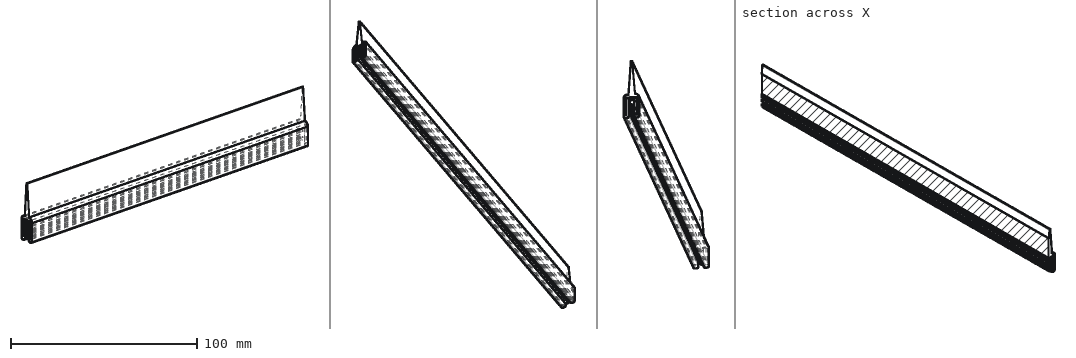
import cadquery as cq

length = 200.0
width = 8.5
height = 33.5
half_width = width / 2

channel_half_width = 1.45
channel_top = 10.5
leg_end_radius = 1.2

shoulder_bottom = 11.8
left_root_x, left_root_z = -1.7, 14.0
left_shoulder_mid = (-3.5, 13.5)
right_root_x, right_root_z = 1.9, 14.5
right_shoulder_mid = (3.5, 13.2)

tip_half_width = 0.5
tip_start = height - tip_half_width

tooth_thickness = 0.8
tooth_reach = 1.5

tooth_root_depth = 0.2
lowest_tooth_z = 2.5
tooth_pitch = 1.8
tooth_count = 4

strip_thickness = 0.5
strip_half_width = 3.5
strip_bottom = 2.0
strip_top = 12.2
strip_bend_radius = 1.0


def extrude_along_length(profile):
    """Extrude an XZ profile symmetrically about the XZ plane."""
    return profile.extrude(length / 2, both=True)


def trim_profile():
    """Blade, shoulders and the two legs with the open channel."""
    return (
        cq.Workplane("XZ")
        .moveTo(-half_width, 0)
        .lineTo(-half_width, shoulder_bottom)
        .threePointArc(left_shoulder_mid, (left_root_x, left_root_z))
        .lineTo(-tip_half_width, tip_start)
        .threePointArc((0, height), (tip_half_width, tip_start))
        .lineTo(right_root_x, right_root_z)
        .threePointArc(right_shoulder_mid, (half_width, shoulder_bottom))
        .lineTo(half_width, 0)
        .lineTo(channel_half_width, 0)
        .lineTo(channel_half_width, channel_top)
        .lineTo(-channel_half_width, channel_top)
        .lineTo(-channel_half_width, 0)
        .close()
    )


def round_leg_ends(body):
    """Round the outer and inner lower edges of both legs."""
    for edge_x in (half_width, channel_half_width):
        for side in (-1, 1):
            corner = cq.selectors.NearestToPointSelector((side * edge_x, 0, 0))
            body = body.edges("|Y").edges(corner).fillet(leg_end_radius)
    return body


def make_tooth(index):
    """One round-tipped tooth; even ones grow from the right wall, odd ones from the left."""
    side = 1 if index % 2 == 0 else -1
    tip_radius = tooth_thickness / 2
    wall_x = side * (channel_half_width + tooth_root_depth)
    round_x = side * (channel_half_width - tooth_reach + tip_radius)
    tip_x = round_x - side * tip_radius
    center_z = lowest_tooth_z + index * tooth_pitch
    profile = (
        cq.Workplane("XZ")
        .moveTo(wall_x, center_z - tip_radius)
        .lineTo(round_x, center_z - tip_radius)
        .threePointArc((tip_x, center_z), (round_x, center_z + tip_radius))
        .lineTo(wall_x, center_z + tip_radius)
        .close()
    )
    return extrude_along_length(profile)


def make_strip():
    """Thin inverted U with rounded bends."""
    inner_half_width = strip_half_width - strip_thickness
    inner_top = strip_top - strip_thickness
    outer_height = strip_top - strip_bottom
    outer = extrude_along_length(
        cq.Workplane("XZ").center(0, strip_bottom + outer_height / 2).rect(2 * strip_half_width, outer_height)
    )
    outer = outer.faces(">Z").edges("|Y").fillet(strip_bend_radius)
    inner_height = inner_top - strip_bottom
    inner = extrude_along_length(
        cq.Workplane("XZ").center(0, strip_bottom + inner_height / 2).rect(2 * inner_half_width, inner_height)
    )
    inner = inner.faces(">Z").edges("|Y").fillet(strip_bend_radius - strip_thickness)
    return outer.cut(inner)


def make_trim(strip):
    """Flexible trim with its teeth and a cavity fitted to the strip."""
    trim = round_leg_ends(extrude_along_length(trim_profile()))
    for index in range(tooth_count):
        trim = trim.union(make_tooth(index))
    return trim.cut(strip)


strip = make_strip()
trim = make_trim(strip)
result = cq.Compound.makeCompound([trim.val(), strip.val()])